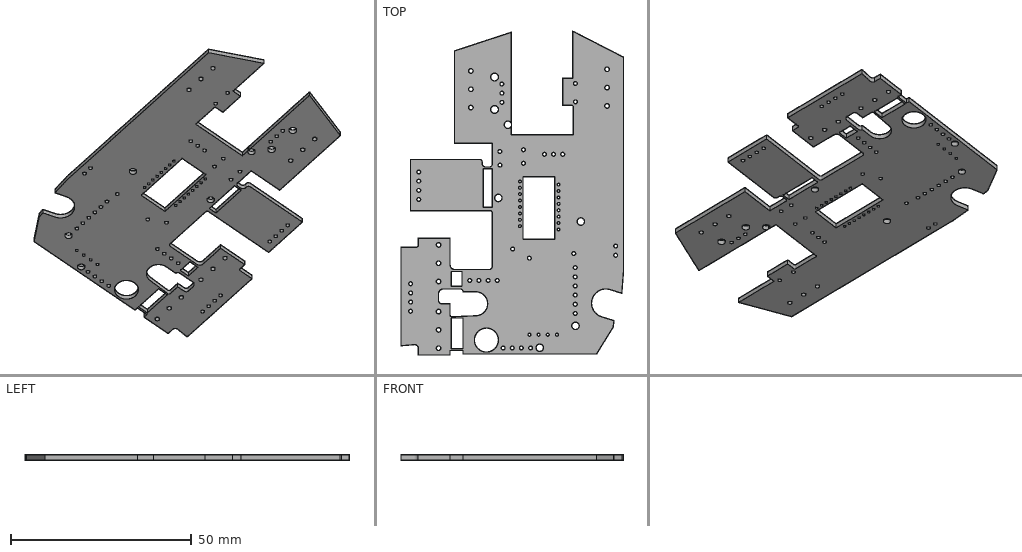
import cadquery as cq
import math

length = 61.82
height = 89.94
thickness = 1.6

ic_hole = 0.7
fine_hole = 0.76
header_hole = 1.0
power_hole = 1.2
screw_hole = 2.0
peg_hole = 2.1
large_hole = 6.6

header_pitch = 2.54
wide_pitch = 2 * header_pitch
ic_pitch = 1.778

body_bottom = 0.25
body_left = 25.3
upper_arm_left = 14.85
upper_arm_bottom = 58.75
upper_arm_top = 84.45
left_peak = (30.7, 89.65)
right_peak_x = 47.7
right_shoulder_y = 82.7
top_bay_bottom = 61.2
top_bay_right = 47.8
tab_left = 44.9
tab_bottom = 69.3
tab_top = 76.85

mid_panel_left = 2.65
mid_panel_bottom = 40.05
mid_panel_top = 54.35
gap_left = 22.6
gap_bottom = 52.25

low_panel_left = 4.8
low_panel_right = 13.7
low_panel_top = 32.45
ear_bottom = 2.55
ear_top = 30.0
ear_arc_x = 3.5
ear_rise = 0.3
ear_arc_drop = 0.35
ear_arc_bulge = (0.4, 0.15)
bay_bottom = 23.8
notch_right = 17.2
notch_top = 1.25

side_slot_center = (56.88, 14.41)
side_slot_radius = 3.92
side_slot_tilt = math.radians(-17.4)
side_slot_upper_length = 3.45
side_slot_lower_length = 3.65
right_bend_y = 23.2
lower_right_bend = (58.95, 7.75)
bottom_right_x = 54.3

keyhole_left = 10.5
keyhole_top = 18.3
keyhole_ledge = 14.3
keyhole_step_x = 17.2
keyhole_bottom = 10.65
keyhole_end_center = (20.75, 14.25)
keyhole_end_radius = large_hole / 2


def side_slot_point(along, across):
    """Point given along the slot's axis and across it, from the centre of its round end."""
    cos_tilt = math.cos(side_slot_tilt)
    sin_tilt = math.sin(side_slot_tilt)
    return (
        side_slot_center[0] + along * cos_tilt - across * sin_tilt,
        side_slot_center[1] + along * sin_tilt + across * cos_tilt,
    )


def round_corner(body, corner, radius):
    """Fillet the vertical edge of the board standing at a corner of the outline."""
    edge_middle = (corner[0], corner[1], thickness / 2)
    return body.edges(cq.selectors.NearestToPointSelector(edge_middle)).fillet(radius)


def make_board():
    mouth_upper = side_slot_point(side_slot_upper_length, side_slot_radius)
    mouth_lower = side_slot_point(side_slot_lower_length, -side_slot_radius)
    ear_arc_end = (low_panel_left, ear_bottom - ear_arc_drop)
    ear_arc_middle = (low_panel_left - ear_arc_bulge[0], ear_bottom + ear_arc_bulge[1])
    board = (
        cq.Workplane("XY")
        .moveTo(low_panel_left, 0)
        .lineTo(low_panel_right, 0)
        .lineTo(low_panel_right, notch_top)
        .lineTo(notch_right, notch_top)
        .lineTo(notch_right, body_bottom)
        .lineTo(bottom_right_x, body_bottom)
        .lineTo(*lower_right_bend)
        .lineTo(*mouth_lower)
        .lineTo(*side_slot_point(0, -side_slot_radius))
        .threePointArc(side_slot_point(-side_slot_radius, 0), side_slot_point(0, side_slot_radius))
        .lineTo(*mouth_upper)
        .lineTo(length, right_bend_y)
        .lineTo(length, right_shoulder_y)
        .lineTo(right_peak_x, height)
        .lineTo(right_peak_x, tab_top)
        .lineTo(tab_left, tab_top)
        .lineTo(tab_left, tab_bottom)
        .lineTo(top_bay_right, tab_bottom)
        .lineTo(top_bay_right, top_bay_bottom)
        .lineTo(left_peak[0], top_bay_bottom)
        .lineTo(*left_peak)
        .lineTo(upper_arm_left, upper_arm_top)
        .lineTo(upper_arm_left, upper_arm_bottom)
        .lineTo(body_left, upper_arm_bottom)
        .lineTo(body_left, gap_bottom)
        .lineTo(gap_left, gap_bottom)
        .lineTo(gap_left, mid_panel_top)
        .lineTo(mid_panel_left, mid_panel_top)
        .lineTo(mid_panel_left, mid_panel_bottom)
        .lineTo(body_left, mid_panel_bottom)
        .lineTo(body_left, bay_bottom)
        .lineTo(low_panel_right, bay_bottom)
        .lineTo(low_panel_right, low_panel_top)
        .lineTo(low_panel_left, low_panel_top)
        .lineTo(low_panel_left, ear_top)
        .lineTo(0, ear_top)
        .lineTo(0, ear_bottom)
        .lineTo(ear_arc_x, ear_bottom + ear_rise)
        .threePointArc(ear_arc_middle, ear_arc_end)
        .close()
        .extrude(thickness)
    )
    rounded_corners = [
        ((body_left, gap_bottom), 0.65),
        ((gap_left, gap_bottom), 0.9),
        ((gap_left, mid_panel_top), 0.8),
        ((body_left, mid_panel_bottom), 0.5),
        ((body_left, bay_bottom), 0.7),
        ((low_panel_right, bay_bottom), 1.2),
        ((low_panel_left, ear_top), 0.4),
        ((top_bay_right, tab_bottom), 0.3),
    ]
    for corner, radius in rounded_corners:
        board = round_corner(board, corner, radius)
    return board


def make_keyhole():
    end_x, end_y = keyhole_end_center
    keyhole = (
        cq.Workplane("XY")
        .moveTo(keyhole_left, keyhole_top)
        .lineTo(keyhole_step_x, keyhole_top)
        .lineTo(keyhole_step_x, end_y + keyhole_end_radius)
        .lineTo(end_x, end_y + keyhole_end_radius)
        .threePointArc((end_x + keyhole_end_radius, end_y), (end_x, end_y - keyhole_end_radius))
        .lineTo(low_panel_right, keyhole_bottom)
        .lineTo(low_panel_right, keyhole_ledge)
        .lineTo(keyhole_left, keyhole_ledge)
        .close()
        .extrude(thickness)
    )
    rounded_corners = [
        ((keyhole_left, keyhole_top), 1.2),
        ((keyhole_left, keyhole_ledge), 0.8),
        ((keyhole_step_x, keyhole_top), 0.6),
        ((low_panel_right, keyhole_bottom), 0.4),
    ]
    for corner, radius in rounded_corners:
        keyhole = round_corner(keyhole, corner, radius)
    return keyhole


def window(left, bottom, right, top):
    """Rectangular through opening."""
    outline = cq.Workplane("XY").rect(right - left, top - bottom, centered=False)
    return outline.extrude(thickness).translate((left, bottom, 0))


def row(start, count, pitch):
    """Hole centres running to the right from the first one."""
    return [(start[0] + i * pitch, start[1]) for i in range(count)]


def column(start, count, pitch):
    """Hole centres running upwards from the first one."""
    return [(start[0], start[1] + i * pitch) for i in range(count)]


def drill(body, centers, diameter):
    """Through holes of one diameter."""
    holes = cq.Workplane("XY").pushPoints(centers).circle(diameter / 2).extrude(thickness)
    return body.cut(holes)


windows = [
    (22.9, 41.05, body_left, 51.7),
    (33.95, 32.2, 42.65, 49.5),
    (14.0, 19.15, 16.95, 23.2),
    (14.0, 1.8, notch_right, 10.25),
]

hole_groups = [
    (column((33.05, 35.78), 8, ic_pitch), ic_hole),
    (column((43.77, 34.87), 8, ic_pitch), ic_hole),
    (row((35.69, 5.67), 4, header_pitch), fine_hole),
    (column((2.71, 12.18), 4, header_pitch), header_hole),
    (column((59.62, 27.71), 2, header_pitch), header_hole),
    ([(47.98, 28.18)], header_hole),
    (column((28.03, 70.16), 3, header_pitch), header_hole),
    (column((48.45, 70.30), 2, wide_pitch), header_hole),
    (row((39.84, 55.74), 3, header_pitch), header_hole),
    (column((4.96, 43.20), 4, header_pitch), header_hole),
    (column((48.39, 11.57), 6, header_pitch), header_hole),
    (row((19.12, 20.72), 4, header_pitch), header_hole),
    (row((28.37, 1.98), 4, header_pitch), header_hole),
    ([(27.50, 52.74), (27.50, 56.51), (34.00, 53.24), (34.00, 56.99)], header_hole),
    ([(31.00, 29.45), (35.65, 26.90)], header_hole),
    (column((19.42, 68.70), 3, wide_pitch), power_hole),
    (column((57.23, 69.16), 3, wide_pitch), power_hole),
    (column((10.46, 20.43), 3, wide_pitch), power_hole),
    (column((10.46, 1.92), 3, wide_pitch), power_hole),
    ([(29.70, 63.93), (27.05, 43.62), (49.94, 37.07), (48.45, 8.12), (38.54, 2.04)], screw_hole),
    ([(26.01, 68.17), (26.01, 77.17)], peg_hole),
    ([(23.74, 4.17)], large_hole),
]

result = make_board().cut(make_keyhole())
for left, bottom, right, top in windows:
    result = result.cut(window(left, bottom, right, top))
for centers, diameter in hole_groups:
    result = drill(result, centers, diameter)